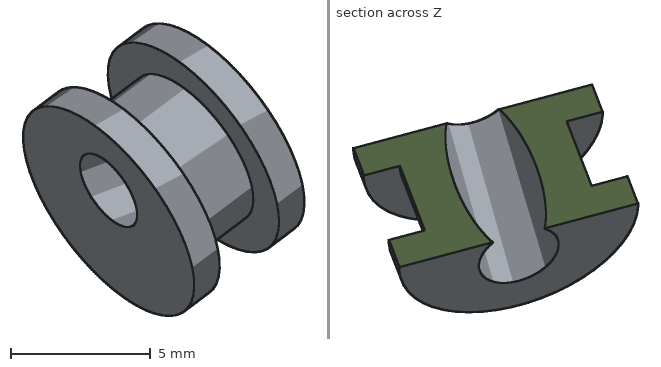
import cadquery as cq

flange_diameter = 9.0
drum_diameter = 6.3
spool_length = 5.4
flange_thickness = 1.25
bore_diameter = 3.0
bore_tilt = 25.0

flange_radius = flange_diameter / 2
drum_radius = drum_diameter / 2
end_y = spool_length / 2
flange_inner_y = end_y - flange_thickness
bore_cut_length = 2 * spool_length

spool = (
    cq.Workplane("YZ")
    .moveTo(-end_y, 0)
    .lineTo(-end_y, flange_radius)
    .lineTo(-flange_inner_y, flange_radius)
    .lineTo(-flange_inner_y, drum_radius)
    .lineTo(flange_inner_y, drum_radius)
    .lineTo(flange_inner_y, flange_radius)
    .lineTo(end_y, flange_radius)
    .lineTo(end_y, 0)
    .close()
    .revolve(360, (0, 0, 0), (1, 0, 0))
)

bore = (
    cq.Workplane("XZ", origin=(0, bore_cut_length / 2, 0))
    .circle(bore_diameter / 2)
    .extrude(bore_cut_length)
    .rotate((0, 0, 0), (1, 0, 0), -bore_tilt)
)

result = spool.cut(bore)